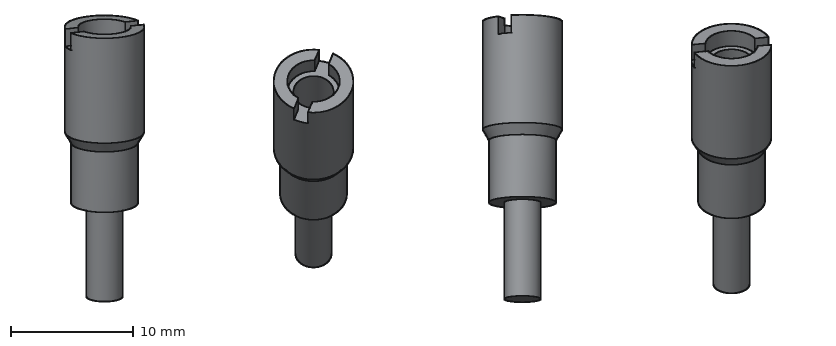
import cadquery as cq

TOTAL_HEIGHT = 23.0
SLEEVE_BOTTOM = 8.0
CONE_BOTTOM = 13.15
CONE_TOP = 14.05

BARREL_DIAMETER = 6.5
SLEEVE_DIAMETER = 5.5

COUNTERBORE_DIAMETER = 4.28
BORE_DIAMETER = 3.3
SLOT_WIDTH = 1.2
SLOT_DEPTH = 1.47
SLOT_FLOOR = TOTAL_HEIGHT - SLOT_DEPTH
BORE_FLOOR = CONE_TOP

CABLE_DIAMETER = 3.0
CABLE_TOP = CONE_BOTTOM


def cylinder(diameter, bottom, top):
    """Upright cylinder on the Z axis between two heights."""
    return cq.Workplane("XY").workplane(offset=bottom).circle(diameter / 2).extrude(top - bottom)


def make_housing():
    """Turned housing with a slotted, counterbored top and a cable socket below."""
    barrel_radius = BARREL_DIAMETER / 2
    sleeve_radius = SLEEVE_DIAMETER / 2
    half_profile = [
        (0, SLEEVE_BOTTOM),
        (sleeve_radius, SLEEVE_BOTTOM),
        (sleeve_radius, CONE_BOTTOM),
        (barrel_radius, CONE_TOP),
        (barrel_radius, TOTAL_HEIGHT),
        (0, TOTAL_HEIGHT),
    ]
    body = cq.Workplane("XZ").polyline(half_profile).close().revolve(360, (0, 0), (0, 1))

    counterbore = cylinder(COUNTERBORE_DIAMETER, SLOT_FLOOR, TOTAL_HEIGHT)
    bore = cylinder(BORE_DIAMETER, BORE_FLOOR, SLOT_FLOOR)
    socket = cylinder(CABLE_DIAMETER, SLEEVE_BOTTOM, CABLE_TOP)

    slot = (
        cq.Workplane("XY")
        .workplane(offset=SLOT_FLOOR)
        .rect(SLOT_WIDTH, BARREL_DIAMETER)
        .extrude(SLOT_DEPTH)
    )
    return body.cut(counterbore).cut(bore).cut(socket).cut(slot)


def make_cable():
    """Round cable from the lower end up to the end of its socket."""
    return cylinder(CABLE_DIAMETER, 0, CABLE_TOP)


housing = make_housing()
cable = make_cable()

result = cq.Compound.makeCompound([housing.val(), cable.val()])